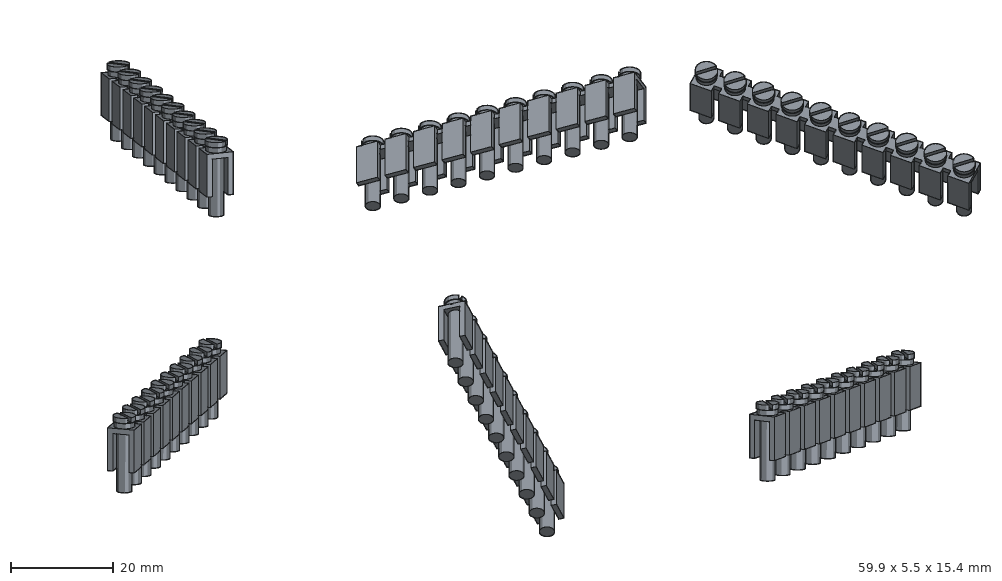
import cadquery as cq

clamp_count = 10
total_length = 59.9
clamp_length = 4.55
clamp_pitch = (total_length - clamp_length) / (clamp_count - 1)

clamp_width = 5.5
clamp_height = 8.75
channel_width = 3.3
roof_thickness = 1.1

bridge_width = 2.7

shank_diameter = 3.0
shank_projection = 4.5
neck_diameter = 4.15
neck_height = 1.1
head_diameter = 4.45
head_height = 1.1
slot_width = 0.65
slot_depth = 0.9
slot_angle = 45.0

clamp_bottom = shank_projection
clamp_top = clamp_bottom + clamp_height
roof_bottom = clamp_top - roof_thickness
head_bottom = clamp_top + neck_height
head_top = head_bottom + head_height


def block(length, width, bottom, top):
    """Box centred on the Z axis, spanning the given levels."""
    base = cq.Workplane("XY").workplane(offset=bottom)
    return base.rect(length, width).extrude(top - bottom)


def cylinder(diameter, bottom, top):
    """Cylinder on the Z axis, spanning the given levels."""
    return cq.Workplane("XY").workplane(offset=bottom).circle(diameter / 2).extrude(top - bottom)


def make_clamp():
    """Inverted U with its channel running along X."""
    body = block(clamp_length, clamp_width, clamp_bottom, clamp_top)
    channel = block(clamp_length, channel_width, clamp_bottom, roof_bottom)
    return body.cut(channel)


def make_screw():
    """Shank, neck and head, with a diagonal driver slot."""
    shank = cylinder(shank_diameter, 0, clamp_top)
    neck = cylinder(neck_diameter, clamp_top, head_bottom)
    head = cylinder(head_diameter, head_bottom, head_top)
    slot = block(head_diameter, slot_width, head_top - slot_depth, head_top)
    screw = shank.union(neck).union(head).cut(slot)
    return screw.rotate((0, 0, 0), (0, 0, 1), slot_angle)


clamp_with_screw = make_clamp().union(make_screw())
first_clamp_x = (clamp_length - total_length) / 2

result = block(total_length, bridge_width, roof_bottom, clamp_top)
for index in range(clamp_count):
    clamp_x = first_clamp_x + index * clamp_pitch
    result = result.union(clamp_with_screw.translate((clamp_x, 0, 0)))